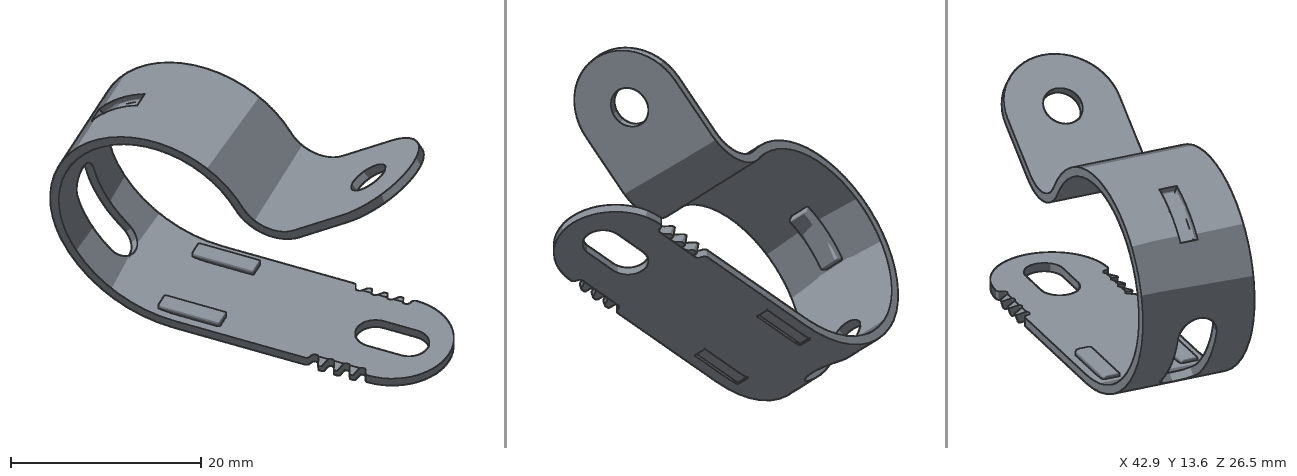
import cadquery as cq
import math


THICKNESS = 1.0
WIDTH = 13.0
HOLE_DIAMETER = 4.3

UPPER_RADIUS = 11.89
LOWER_RADIUS = 14.4
STRIP_BOTTOM = -13.29

NECK_RADIUS = 4.1
NECK_START_ANGLE = 31.5
TAB_ANGLE = 36.0
TAB_LENGTH = 13.37
TAB_HOLE_BACKSET = 6.3

STRIP_END = 31.0
STRIP_SLOT_TRAVEL = 3.8

TOOTH_PITCH = 1.8
TOOTH_COUNT = 3
TOOTH_CENTRE_X = 20.89
TOOTH_DEPTH = 0.9
TOOTH_BEND_ANGLE = 19.0
VALLEY_MOUTH_WIDTH = 1.2
VALLEY_FLOOR_WIDTH = 0.6
VALLEY_FLOOR_ROUND = 0.4
TOOTH_CREST_ROUND = 0.19
SERRATION_END_ROUND = 0.45

PAD_MARGIN = 0.25
STRIP_PAD_LENGTH = 7.1
STRIP_PAD_WIDTH = 2.0
STRIP_PAD_HEIGHT = 0.65
STRIP_PAD_OFFSET = 4.52
LOOP_PAD_START = 109.0
LOOP_PAD_END = 145.0
LOOP_PAD_MARGIN_ANGLE = 2.0
LOOP_PAD_WIDTH = 2.5
LOOP_PAD_HEIGHT = 1.0
PAD_SIDE_ROUND = 0.4
PAD_END_ROUND = 0.2
RECESS_ROUND = 0.25

LOOP_SLOT_WIDTH = 4.5
LOOP_SLOT_TOP_ANGLE = 195.0
LOOP_SLOT_BOTTOM_ANGLE = 228.0

HALF_WIDTH = WIDTH / 2
STRIP_TOP = STRIP_BOTTOM + THICKNESS
RADIUS_STEP = LOWER_RADIUS - UPPER_RADIUS
JUNCTION_DIP = math.degrees(math.asin(1 - (-STRIP_BOTTOM - UPPER_RADIUS) / RADIUS_STEP))
JUNCTION_ANGLE = 180 + JUNCTION_DIP


def polar(centre, radius, angle):
    """Point in the XZ plane at an angle in degrees from +X towards +Z."""
    a = math.radians(angle)
    return (centre[0] + radius * math.cos(a), centre[1] + radius * math.sin(a))


UPPER_CENTRE = (0.0, 0.0)
LOWER_CENTRE = polar(UPPER_CENTRE, RADIUS_STEP, JUNCTION_DIP)
NECK_CENTRE = polar(UPPER_CENTRE, UPPER_RADIUS + NECK_RADIUS, NECK_START_ANGLE)
NECK_FIRST_ANGLE = 180 + NECK_START_ANGLE
NECK_LAST_ANGLE = 270 + TAB_ANGLE
SERRATION_ROOT_Y = HALF_WIDTH - TOOTH_DEPTH


def add_arc(sketch, centre, radius, start, end):
    """Continue a wire along an arc between two angles."""
    middle = polar(centre, radius, (start + end) / 2)
    return sketch.threePointArc(middle, polar(centre, radius, end))


def make_loop():
    """Side profile of both loop bends and the neck, extruded across the width."""
    inner_upper = UPPER_RADIUS - THICKNESS
    inner_lower = LOWER_RADIUS - THICKNESS
    outer_neck = NECK_RADIUS + THICKNESS
    wire = cq.Workplane("XZ").moveTo(LOWER_CENTRE[0], STRIP_BOTTOM)
    wire = add_arc(wire, LOWER_CENTRE, LOWER_RADIUS, 270, JUNCTION_ANGLE)
    wire = add_arc(wire, UPPER_CENTRE, UPPER_RADIUS, JUNCTION_ANGLE, NECK_START_ANGLE)
    wire = add_arc(wire, NECK_CENTRE, NECK_RADIUS, NECK_FIRST_ANGLE, NECK_LAST_ANGLE)
    wire = wire.lineTo(*polar(NECK_CENTRE, outer_neck, NECK_LAST_ANGLE))
    wire = add_arc(wire, NECK_CENTRE, outer_neck, NECK_LAST_ANGLE, NECK_FIRST_ANGLE)
    wire = add_arc(wire, UPPER_CENTRE, inner_upper, NECK_START_ANGLE, JUNCTION_ANGLE)
    wire = add_arc(wire, LOWER_CENTRE, inner_lower, JUNCTION_ANGLE, 270)
    return wire.close().extrude(HALF_WIDTH, both=True)


def round_ended_plate(plane, length):
    """Plate from the plane's Y axis to a full-radius end, one thickness downwards."""
    straight = length - HALF_WIDTH
    return (
        cq.Workplane(plane)
        .moveTo(0, -HALF_WIDTH)
        .lineTo(straight, -HALF_WIDTH)
        .threePointArc((length, 0), (straight, HALF_WIDTH))
        .lineTo(0, HALF_WIDTH)
        .close()
        .extrude(-THICKNESS)
    )


def make_tab():
    """Inclined fixing tab with its screw hole."""
    start = polar(NECK_CENTRE, NECK_RADIUS, NECK_LAST_ANGLE)
    slope = math.radians(TAB_ANGLE)
    plane = cq.Plane(
        origin=(start[0], 0, start[1]),
        xDir=(math.cos(slope), 0, math.sin(slope)),
        normal=(-math.sin(slope), 0, math.cos(slope)),
    )
    hole = (
        cq.Workplane(plane)
        .center(TAB_LENGTH - TAB_HOLE_BACKSET, 0)
        .circle(HOLE_DIAMETER / 2)
        .extrude(-THICKNESS)
    )
    return round_ended_plate(plane, TAB_LENGTH).cut(hole)


def make_valleys():
    """Rounded V notches between and beside the teeth on the +Y edge."""
    mouth = VALLEY_MOUTH_WIDTH / 2
    floor = VALLEY_FLOOR_WIDTH / 2
    flare = (mouth - floor) / TOOTH_DEPTH
    outer_half = floor + flare * 2 * TOOTH_DEPTH
    valleys = cq.Workplane("XY")
    for index in range(TOOTH_COUNT + 1):
        x = TOOTH_CENTRE_X + (index - TOOTH_COUNT / 2) * TOOTH_PITCH
        valley = (
            cq.Workplane("XY")
            .workplane(offset=STRIP_BOTTOM - THICKNESS)
            .moveTo(x - floor, SERRATION_ROOT_Y)
            .lineTo(x + floor, SERRATION_ROOT_Y)
            .lineTo(x + outer_half, SERRATION_ROOT_Y + 2 * TOOTH_DEPTH)
            .lineTo(x - outer_half, SERRATION_ROOT_Y + 2 * TOOTH_DEPTH)
            .close()
            .extrude(3 * THICKNESS)
            .edges("|Z and <Y")
            .fillet(VALLEY_FLOOR_ROUND)
        )
        valleys = valleys.add(valley)
    return valleys.combine()


def make_bent_teeth(valleys):
    """Teeth of the +Y edge, hinged downwards about the root at the strip's underside."""
    bend = math.radians(TOOTH_BEND_ANGLE)
    tip_y = SERRATION_ROOT_Y + TOOTH_DEPTH * math.cos(bend)
    tip_z = STRIP_BOTTOM - TOOTH_DEPTH * math.sin(bend)
    crease_y = SERRATION_ROOT_Y + THICKNESS * math.tan(bend / 2)
    first_x = TOOTH_CENTRE_X - TOOTH_COUNT * TOOTH_PITCH / 2
    bar = (
        cq.Workplane("YZ")
        .workplane(offset=first_x)
        .moveTo(SERRATION_ROOT_Y, STRIP_BOTTOM)
        .lineTo(tip_y, tip_z)
        .lineTo(tip_y + THICKNESS * math.sin(bend), tip_z + THICKNESS * math.cos(bend))
        .lineTo(crease_y, STRIP_TOP)
        .lineTo(SERRATION_ROOT_Y, STRIP_TOP)
        .close()
        .extrude(TOOTH_COUNT * TOOTH_PITCH)
    )
    outward = cq.Vector(0, math.cos(bend), -math.sin(bend))
    crests = cq.selectors.DirectionMinMaxSelector(outward, True)
    return bar.cut(valleys).faces(crests).edges("not |X").fillet(TOOTH_CREST_ROUND)


def make_strip():
    """Flat strip with its adjusting slot and both serrated edges."""
    plane = cq.Plane(origin=(LOWER_CENTRE[0], 0, STRIP_TOP))
    strip = round_ended_plate(plane, STRIP_END - LOWER_CENTRE[0])
    slot = (
        cq.Workplane("XY")
        .workplane(offset=STRIP_BOTTOM)
        .center(STRIP_END - HALF_WIDTH, 0)
        .slot2D(STRIP_SLOT_TRAVEL + HOLE_DIAMETER, HOLE_DIAMETER)
        .extrude(THICKNESS)
    )
    valleys = make_valleys()
    flat_teeth = cq.Workplane("XY").box(
        TOOTH_COUNT * TOOTH_PITCH, TOOTH_DEPTH, THICKNESS, centered=(True, False, False)
    ).translate((TOOTH_CENTRE_X, SERRATION_ROOT_Y, STRIP_BOTTOM))
    edge_cut = valleys.union(flat_teeth)
    bent_teeth = make_bent_teeth(valleys)
    strip = strip.cut(slot).cut(edge_cut).cut(edge_cut.mirror("XZ"))
    mouth_offset = (TOOTH_COUNT * TOOTH_PITCH + VALLEY_MOUTH_WIDTH) / 2
    for x in (TOOTH_CENTRE_X - mouth_offset, TOOTH_CENTRE_X + mouth_offset):
        for y in (-HALF_WIDTH, HALF_WIDTH):
            corner = cq.selectors.NearestToPointSelector((x, y, STRIP_BOTTOM + THICKNESS / 2))
            strip = strip.edges(corner).fillet(SERRATION_END_ROUND)
    return strip.union(bent_teeth).union(bent_teeth.mirror("XZ"))


def strip_block(length, width, bottom, top, y):
    """Block over the pad position on the strip."""
    return (
        cq.Workplane("XY")
        .box(length, width, top - bottom, centered=(True, True, False))
        .translate((STRIP_PAD_LENGTH / 2, y, bottom))
    )


def add_strip_pads(body):
    """Two straight pads on the strip with recesses in its underside."""
    pad_top = STRIP_TOP + STRIP_PAD_HEIGHT
    pad_bottom = (STRIP_BOTTOM + STRIP_TOP) / 2
    floor = STRIP_BOTTOM + STRIP_PAD_HEIGHT - PAD_MARGIN
    length = STRIP_PAD_LENGTH - 2 * PAD_MARGIN
    width = STRIP_PAD_WIDTH - 2 * PAD_MARGIN
    for y in (-STRIP_PAD_OFFSET, STRIP_PAD_OFFSET):
        pad = strip_block(STRIP_PAD_LENGTH, STRIP_PAD_WIDTH, pad_bottom, pad_top, y)
        recess = strip_block(length, width, STRIP_BOTTOM, floor, y)
        pad = pad.faces(">Z").edges("|X").fillet(PAD_SIDE_ROUND)
        pad = pad.faces("<X or >X").edges(">Z").fillet(PAD_END_ROUND)
        body = body.union(pad).cut(recess)
    return body


def loop_sector(inner, outer, start, end, width):
    """Curved block about the upper bend between two radii and two angles."""
    wire = cq.Workplane("XZ").moveTo(*polar(UPPER_CENTRE, inner, start))
    wire = add_arc(wire, UPPER_CENTRE, inner, start, end)
    wire = wire.lineTo(*polar(UPPER_CENTRE, outer, end))
    wire = add_arc(wire, UPPER_CENTRE, outer, end, start)
    return wire.close().extrude(width / 2, both=True)


def add_loop_pad(body):
    """Curved pad inside the upper bend with a recess in the outer surface."""
    inner = UPPER_RADIUS - THICKNESS
    depth = LOOP_PAD_HEIGHT - PAD_MARGIN
    pad = loop_sector(
        inner - LOOP_PAD_HEIGHT,
        inner + THICKNESS / 2,
        LOOP_PAD_START,
        LOOP_PAD_END,
        LOOP_PAD_WIDTH,
    )
    recess = loop_sector(
        UPPER_RADIUS - depth,
        UPPER_RADIUS + THICKNESS,
        LOOP_PAD_START + LOOP_PAD_MARGIN_ANGLE,
        LOOP_PAD_END - LOOP_PAD_MARGIN_ANGLE,
        LOOP_PAD_WIDTH - 2 * PAD_MARGIN,
    )
    facing_centre = cq.selectors.NearestToPointSelector((0, 0, 0))
    pad = pad.faces(facing_centre).edges("not |Y").fillet(PAD_SIDE_ROUND)
    pad = pad.faces(facing_centre).edges("|Y").fillet(PAD_END_ROUND)
    recess = recess.faces(facing_centre).edges().fillet(RECESS_ROUND)
    return body.union(pad).cut(recess)


def cut_loop_slot(body):
    """Round-ended slot that follows the back of the loop, with radial walls."""
    near = UPPER_RADIUS / 2
    far = LOWER_RADIUS * 1.5
    ends = ((UPPER_CENTRE, LOOP_SLOT_TOP_ANGLE), (LOWER_CENTRE, LOOP_SLOT_BOTTOM_ANGLE))
    corners = []
    for centre, angle in ends:
        direction = polar((0, 0), 1, angle)
        start = polar(centre, near, angle)
        cap = cq.Solid.makeCylinder(
            LOOP_SLOT_WIDTH / 2,
            far - near,
            cq.Vector(start[0], 0, start[1]),
            cq.Vector(direction[0], 0, direction[1]),
        )
        body = body.cut(cq.Workplane(cap))
        corners.append((start, polar(centre, far, angle)))
    (top_near, top_far), (bottom_near, bottom_far) = corners
    middle = (
        cq.Workplane("XZ")
        .polyline([top_near, top_far, bottom_far, bottom_near])
        .close()
        .extrude(LOOP_SLOT_WIDTH / 2, both=True)
    )
    return body.cut(middle)


clamp = make_loop().union(make_tab()).union(make_strip())
clamp = add_strip_pads(clamp)
clamp = add_loop_pad(clamp)
result = cut_loop_slot(clamp)